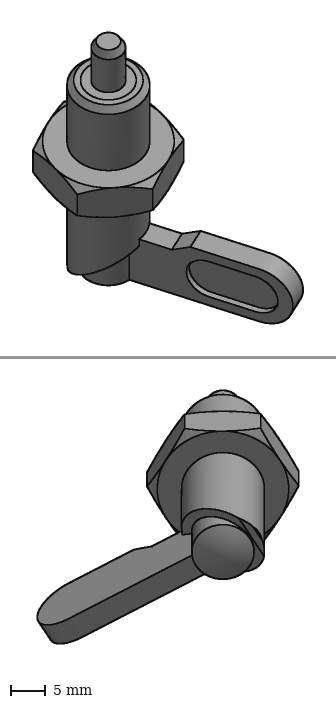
import cadquery as cq
import math

total_height = 46.75
dome_height = 1.2
lever_bottom = dome_height
housing_top = 38.75
hex_bottom = 20.25

housing_radius = 6.0
housing_chamfer = 1.0
hex_width = 19.0
hex_height = 6.05
hex_chamfer_angle = 30.0
ramp_start_x = -4.75
ramp_slope = 0.73
relief_width = 0.15
relief_height = 0.37

plunger_radius = 4.0
tip_diameter = 5.0
tip_radius = tip_diameter / 2
tip_end_radius = 1.78
tip_chamfer_height = 1.25

hub_radius = 4.5
lever_thickness = 3.6
lever_end_x = 30.0
lever_end_radius = 5.38
neck_height = 8.98
shoulder_start_x = 10.85
shoulder_end_x = 13.8
pocket_center_x = 20.4
pocket_length = 14.45
pocket_width = 7.2
pocket_depth = 1.0

neck_top = lever_bottom + neck_height
lever_top = lever_bottom + 2 * lever_end_radius
lever_middle = lever_bottom + lever_end_radius


def cylinder(radius, bottom, top):
    return cq.Workplane("XY").workplane(offset=bottom).circle(radius).extrude(top - bottom)


def extrude_across(outline, width):
    """Extrude an XZ outline to both sides of the Y = 0 plane."""
    return outline.extrude(width / 2, both=True)


def make_plate():
    arc_x = lever_end_x - lever_end_radius
    outline = (
        cq.Workplane("XZ")
        .moveTo(0, lever_bottom)
        .lineTo(arc_x, lever_bottom)
        .threePointArc((lever_end_x, lever_middle), (arc_x, lever_top))
        .lineTo(shoulder_end_x, lever_top)
        .lineTo(shoulder_start_x, neck_top)
        .lineTo(0, neck_top)
        .close()
    )
    return extrude_across(outline, lever_thickness)


def make_dome():
    sphere_radius = (hub_radius**2 + dome_height**2) / (2 * dome_height)
    sphere = cq.Workplane("XY").sphere(sphere_radius).translate((0, 0, sphere_radius))
    return sphere.intersect(cylinder(hub_radius, 0, lever_bottom))


def make_lever():
    hub = cylinder(hub_radius, lever_bottom, neck_top).union(make_dome())
    pocket = (
        cq.Workplane("XZ", origin=(0, -lever_thickness / 2, 0))
        .center(pocket_center_x, lever_middle)
        .slot2D(pocket_length, pocket_width)
        .extrude(-pocket_depth)
    )
    return hub.union(make_plate()).cut(pocket)


def make_plunger():
    profile = (
        cq.Workplane("XZ")
        .moveTo(0, neck_top)
        .lineTo(plunger_radius, neck_top)
        .lineTo(plunger_radius, housing_top)
        .lineTo(tip_radius, housing_top)
        .lineTo(tip_radius, total_height - tip_chamfer_height)
        .lineTo(tip_end_radius, total_height)
        .lineTo(0, total_height)
        .close()
    )
    return profile.revolve(360, (0, 0, 0), (0, 1, 0))


def make_hex_collar():
    corner_radius = hex_width / math.sqrt(3)
    flat_radius = hex_width / 2
    drop = (corner_radius - flat_radius) * math.tan(math.radians(hex_chamfer_angle))
    hex_top = hex_bottom + hex_height
    prism = (
        cq.Workplane("XY")
        .workplane(offset=hex_bottom)
        .transformed(rotate=(0, 0, 30))
        .polygon(6, 2 * corner_radius)
        .extrude(hex_height)
    )
    envelope = (
        cq.Workplane("XZ")
        .moveTo(0, hex_bottom)
        .lineTo(flat_radius, hex_bottom)
        .lineTo(corner_radius, hex_bottom + drop)
        .lineTo(corner_radius, hex_top - drop)
        .lineTo(flat_radius, hex_top)
        .lineTo(0, hex_top)
        .close()
        .revolve(360, (0, 0, 0), (0, 1, 0))
    )
    return prism.intersect(envelope)


def make_ramp_cutter():
    """Wedge below the sloping lower end of the housing."""
    ramp_end_z = lever_bottom + ramp_slope * (housing_radius - ramp_start_x)
    outline = cq.Workplane("XZ").polyline([
        (ramp_start_x, lever_bottom),
        (housing_radius, lever_bottom),
        (housing_radius, ramp_end_z),
    ]).close()
    return extrude_across(outline, 2 * housing_radius)


def make_relief_cutter():
    outline = cq.Workplane("XZ").polyline([
        (-housing_radius, lever_bottom),
        (-housing_radius + relief_width, lever_bottom),
        (-housing_radius, lever_bottom + relief_height),
    ]).close()
    return extrude_across(outline, 2 * housing_radius)


def make_housing():
    barrel = cylinder(housing_radius, lever_bottom, housing_top)
    barrel = barrel.faces(">Z").chamfer(housing_chamfer)
    return (
        barrel.union(make_hex_collar())
        .cut(cylinder(plunger_radius, neck_top, housing_top))
        .cut(cylinder(hub_radius, lever_bottom, neck_top))
        .cut(make_plate())
        .cut(make_ramp_cutter())
        .cut(make_relief_cutter())
    )


housing = make_housing()
plunger = make_plunger()
lever = make_lever()
result = cq.Compound.makeCompound([housing.val(), plunger.val(), lever.val()])